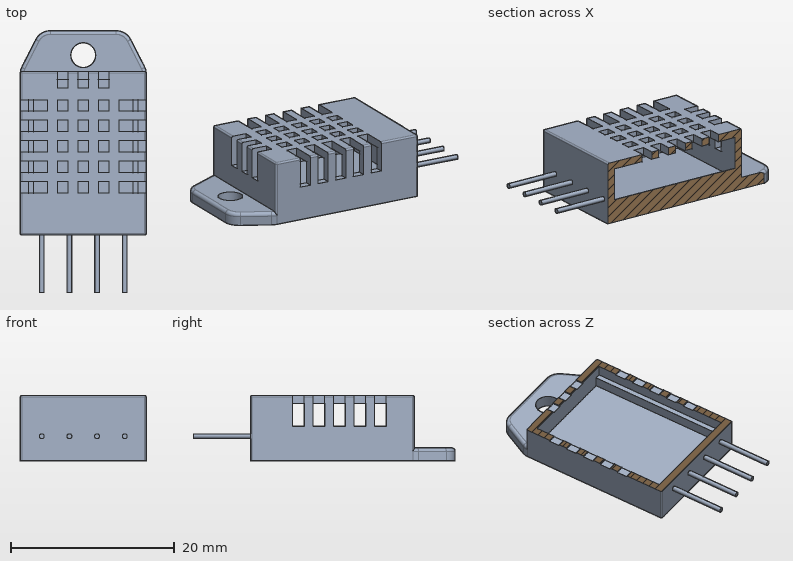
import cadquery as cq

CASE_WIDTH = 15.4
CASE_LENGTH = 20.0
CASE_HEIGHT = 8.0
CASE_EDGE_RADIUS = 0.2
WALL = 1.0

CAVITY_FLOOR = 1.7
LEDGE_WIDTH = 0.65
LEDGE_HEIGHT = 3.0

VENT_PITCH = 2.5
VENT_WIDTH = 1.3
VENT_LENGTH = 1.4
VENT_ROWS = 5
VENT_COLUMNS = 3
VENT_BACK_MARGIN = 3.45
VENT_SILL = 4.25
BACK_NOTCH_LENGTH = 2.0

TAB_LENGTH = 5.0
TAB_THICKNESS = 1.6
TAB_TIP_WIDTH = 10.5
TAB_STRAIGHT_LENGTH = 0.2
TAB_TIP_RADIUS = 2.0
TAB_ROOT_RADIUS = 1.5
TAB_EDGE_RADIUS = 0.45
TAB_HOLE_DIAMETER = 3.0
TAB_HOLE_OFFSET = 2.0

PIN_COUNT = 4
PIN_PITCH = 3.38
PIN_DIAMETER = 0.6
PIN_LENGTH = 7.0
PIN_HEIGHT = 3.0

CAVITY_WIDTH = CASE_WIDTH - 2 * WALL
CAVITY_LENGTH = CASE_LENGTH - 2 * WALL
CAVITY_CEILING = CASE_HEIGHT - WALL


def centred_positions(count, pitch):
    """Evenly spaced positions, symmetric about zero."""
    return [(i - (count - 1) / 2) * pitch for i in range(count)]


def block(x_min, x_max, y_min, y_max, z_min, z_max):
    """Axis-aligned box between the given limits."""
    size = (x_max - x_min, y_max - y_min, z_max - z_min)
    return cq.Workplane("XY").box(*size, centered=False).translate((x_min, y_min, z_min))


def make_case():
    """Solid box, rounded on its upright and top edges."""
    half = CASE_WIDTH / 2
    box = block(-half, half, 0, CASE_LENGTH, 0, CASE_HEIGHT)
    return box.edges("|Z or >Z").fillet(CASE_EDGE_RADIUS)


def make_cavity():
    """Closed inner space, narrower below the side ledges."""
    y_min = WALL
    y_max = WALL + CAVITY_LENGTH
    upper_half = CAVITY_WIDTH / 2
    lower_half = upper_half - LEDGE_WIDTH
    upper = block(-upper_half, upper_half, y_min, y_max, LEDGE_HEIGHT, CAVITY_CEILING)
    lower = block(-lower_half, lower_half, y_min, y_max, CAVITY_FLOOR, LEDGE_HEIGHT)
    return upper.union(lower)


def make_vents():
    """Roof holes, side slots and back notches, all cut down to the sill height."""
    columns = centred_positions(VENT_COLUMNS, VENT_PITCH)
    side_slot_end = columns[-1] + VENT_PITCH - VENT_WIDTH / 2
    half_case = CASE_WIDTH / 2
    half_vent = VENT_WIDTH / 2
    vents = cq.Workplane("XY")

    for row in range(VENT_ROWS):
        y_max = CASE_LENGTH - VENT_BACK_MARGIN - row * VENT_PITCH
        y_min = y_max - VENT_LENGTH
        spans = [(x - half_vent, x + half_vent) for x in columns]
        spans += [(-half_case, -side_slot_end), (side_slot_end, half_case)]
        for x_min, x_max in spans:
            vents = vents.add(block(x_min, x_max, y_min, y_max, VENT_SILL, CASE_HEIGHT))

    notch_start = CASE_LENGTH - BACK_NOTCH_LENGTH
    for x in columns:
        notch = block(x - half_vent, x + half_vent, notch_start, CASE_LENGTH, VENT_SILL, CASE_HEIGHT)
        vents = vents.add(notch)
    return vents.combine()


def make_tab():
    """Tapered mounting tab with rounded corners, a rounded top rim and a screw hole."""
    half_root = CASE_WIDTH / 2
    half_tip = TAB_TIP_WIDTH / 2
    y_root = CASE_LENGTH
    y_embedded = y_root - WALL
    y_taper = y_root + TAB_STRAIGHT_LENGTH
    y_tip = y_root + TAB_LENGTH
    outline = [
        (-half_root, y_embedded),
        (half_root, y_embedded),
        (half_root, y_taper),
        (half_tip, y_tip),
        (-half_tip, y_tip),
        (-half_root, y_taper),
    ]

    tab = cq.Workplane("XY").polyline(outline).close().extrude(TAB_THICKNESS)
    tab = tab.edges("|Z and >Y").fillet(TAB_TIP_RADIUS)
    for x in (-half_root, half_root):
        corner = cq.selectors.NearestToPointSelector((x, y_taper, TAB_THICKNESS / 2))
        tab = tab.edges("|Z").edges(corner).fillet(TAB_ROOT_RADIUS)
    tab = tab.faces(">Z").edges("not <Y").fillet(TAB_EDGE_RADIUS)

    hole = (
        cq.Workplane("XY")
        .center(0, y_root + TAB_HOLE_OFFSET)
        .circle(TAB_HOLE_DIAMETER / 2)
        .extrude(TAB_THICKNESS)
    )
    return tab.cut(hole)


def make_pins():
    """Row of round pins standing out of the front wall."""
    pin_points = [(x, PIN_HEIGHT) for x in centred_positions(PIN_COUNT, PIN_PITCH)]
    return (
        cq.Workplane("XZ", origin=(0, WALL, 0))
        .pushPoints(pin_points)
        .circle(PIN_DIAMETER / 2)
        .extrude(WALL + PIN_LENGTH)
    )


case = make_case().cut(make_cavity()).cut(make_vents())
result = case.union(make_tab()).union(make_pins())